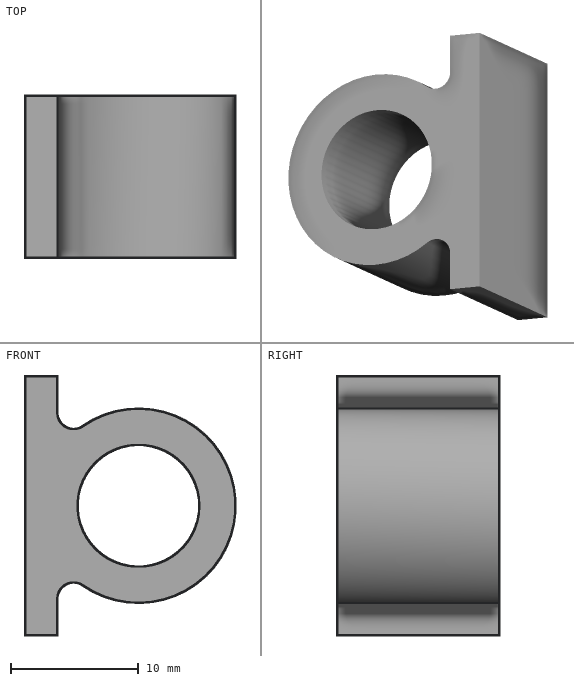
import cadquery as cq

part_depth = 12.7
plate_height = 20.32
plate_thickness = 2.54
overall_width = 16.51
barrel_diameter = 15.24
bore_diameter = 9.525
fillet_radius = 1.27

plate_back_x = barrel_diameter / 2 - overall_width
plate_center_x = plate_back_x + plate_thickness / 2
plate_face_x = plate_back_x + plate_thickness
selection_margin = 0.01


def make_barrel():
    """Solid cylinder that partly sinks into the plate."""
    return cq.Workplane("XZ").circle(barrel_diameter / 2).extrude(part_depth / 2, both=True)


def make_plate():
    """Flat mounting plate, centred on the barrel in Y and Z."""
    plate = cq.Workplane("XY").box(plate_thickness, part_depth, plate_height)
    return plate.translate((plate_center_x, 0, 0))


def fillet_plate_joints(body):
    """Round the two inner corners where the barrel meets the plate face."""
    joint_selector = cq.selectors.BoxSelector(
        (plate_face_x - selection_margin, -part_depth, -barrel_diameter / 2),
        (plate_face_x + selection_margin, part_depth, barrel_diameter / 2),
    )
    return body.edges("|Y").edges(joint_selector).fillet(fillet_radius)


def cut_bore(body):
    """Through bore along the barrel axis."""
    bore = cq.Workplane("XZ").circle(bore_diameter / 2).extrude(part_depth / 2, both=True)
    return body.cut(bore)


result = cut_bore(fillet_plate_joints(make_plate().union(make_barrel())))